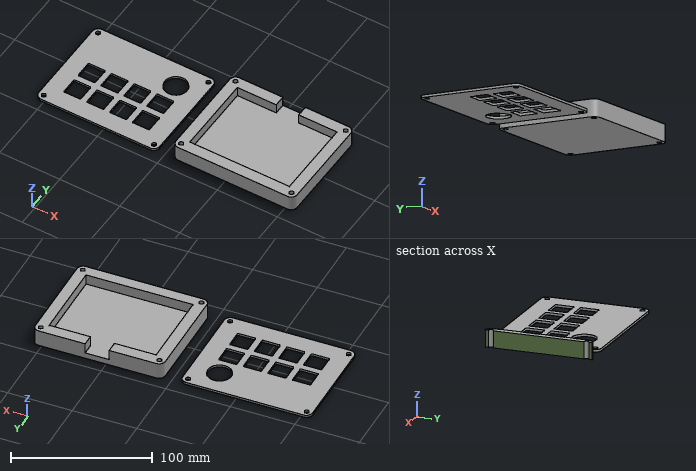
import cadquery as cq

OUTER_WIDTH = 101.0
OUTER_DEPTH = 81.5
CORNER_RADIUS = 5.0
WALL = 9.0
SCREW_DIAMETER = 3.5
SCREW_INSET = WALL / 2

PLATE_THICKNESS = 2.0
SWITCH_SIZE = 14.0
SWITCH_CORNER_RADIUS = 0.5
SWITCH_PITCH = 19.0
SWITCH_COLUMNS = 4
SWITCH_ROWS = 2
FIRST_SWITCH_X = 21.6
FIRST_SWITCH_Y = 21.9
KNOB_DIAMETER = 18.2
KNOB_X = FIRST_SWITCH_X + (SWITCH_COLUMNS - 1) * SWITCH_PITCH
KNOB_Y = 61.7

CASE_HEIGHT = 13.0
FLOOR_THICKNESS = 5.0
CABLE_SLOT_WIDTH = 18.6
CABLE_SLOT_LEFT = 41.3

OVERALL_LENGTH = 214.2
OVERALL_DEPTH = 83.1
CASE_X = OVERALL_LENGTH - OUTER_WIDTH
CASE_Y = OVERALL_DEPTH - OUTER_DEPTH


def box_from_corner(width, depth, height, x=0, y=0, z=0):
    """Box with its front left bottom corner at (x, y, z)."""
    return cq.Workplane("XY").box(width, depth, height, centered=False).translate((x, y, z))


def rounded_slab(height):
    """Slab with rounded corners and a screw hole through each corner."""
    slab = box_from_corner(OUTER_WIDTH, OUTER_DEPTH, height).edges("|Z").fillet(CORNER_RADIUS)
    screw_points = [
        (x, y)
        for x in (SCREW_INSET, OUTER_WIDTH - SCREW_INSET)
        for y in (SCREW_INSET, OUTER_DEPTH - SCREW_INSET)
    ]
    screws = cq.Workplane("XY").pushPoints(screw_points).circle(SCREW_DIAMETER / 2).extrude(height)
    return slab.cut(screws)


def switch_cutouts():
    """Grid of rounded square openings for the key switches."""
    centers = [
        (FIRST_SWITCH_X + column * SWITCH_PITCH, FIRST_SWITCH_Y + row * SWITCH_PITCH)
        for column in range(SWITCH_COLUMNS)
        for row in range(SWITCH_ROWS)
    ]
    squares = cq.Workplane("XY").pushPoints(centers).rect(SWITCH_SIZE, SWITCH_SIZE)
    return squares.extrude(PLATE_THICKNESS).edges("|Z").fillet(SWITCH_CORNER_RADIUS)


def make_plate():
    """Flat top plate with switch openings and a round knob opening."""
    knob_opening = (
        cq.Workplane("XY")
        .center(KNOB_X, KNOB_Y)
        .circle(KNOB_DIAMETER / 2)
        .extrude(PLATE_THICKNESS)
    )
    return rounded_slab(PLATE_THICKNESS).cut(switch_cutouts()).cut(knob_opening)


def make_case():
    """Open tray whose back wall is cut down to the floor by a cable slot."""
    pocket_depth = CASE_HEIGHT - FLOOR_THICKNESS
    pocket = box_from_corner(
        OUTER_WIDTH - 2 * WALL,
        OUTER_DEPTH - 2 * WALL,
        pocket_depth,
        x=WALL,
        y=WALL,
        z=FLOOR_THICKNESS,
    )
    cable_slot = box_from_corner(
        CABLE_SLOT_WIDTH,
        WALL,
        pocket_depth,
        x=CABLE_SLOT_LEFT,
        y=OUTER_DEPTH - WALL,
        z=FLOOR_THICKNESS,
    )
    return rounded_slab(CASE_HEIGHT).cut(pocket).cut(cable_slot)


plate = make_plate()
case = make_case().translate((CASE_X, CASE_Y, 0))

result = cq.Compound.makeCompound([plate.val(), case.val()])